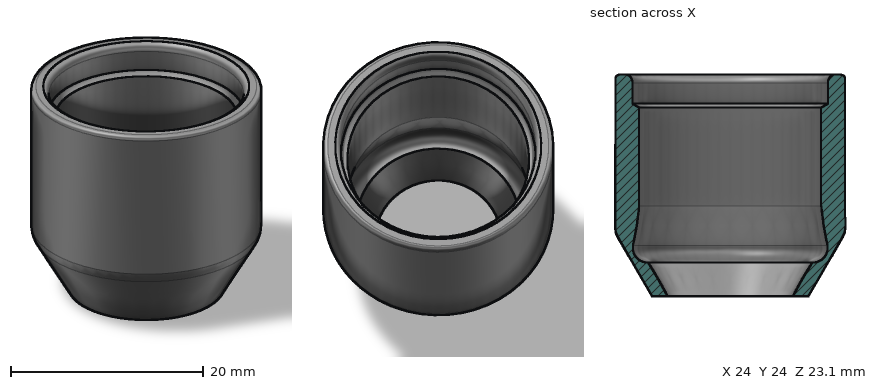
import math

import cadquery as cq

height = 23.1
outer_radius = 24.0 / 2
nose_radius = 16.32 / 2
nose_angle = 30.0
nose_blend = 2.0
rim_blend = 0.5

mouth_radius = 20.3 / 2
mouth_arc_radius = 1.0
mouth_arc_sweep = 65.0
ledge_depth = 3.05
ledge_angle = 30.0

bore_radius = 18.92 / 2
bore_bottom = 9.4
flare_angle = 9.0
chamber_blend = 1.5

outlet_radius = 13.0 / 2
floor_radius = 17.09 / 2


def rise(run, angle_from_axis):
    """Axial length of a taper with the given radial run."""
    return run / math.tan(math.radians(angle_from_axis))


def make_body():
    """Cylinder with a tapered nose and rounded outer edges."""
    shoulder = rise(outer_radius - nose_radius, nose_angle)
    body = (
        cq.Workplane("XZ")
        .moveTo(0, 0)
        .lineTo(nose_radius, 0)
        .lineTo(outer_radius, shoulder)
        .lineTo(outer_radius, height)
        .lineTo(0, height)
        .close()
        .revolve(360, (0, 0, 0), (0, 1, 0))
    )
    body = body.edges("%CIRCLE").edges(cq.selectors.RadiusNthSelector(-1)).edges("<Z").fillet(nose_blend)
    return body.faces(">Z").edges().fillet(rim_blend)


def make_bore():
    """Stepped opening from the rounded mouth down through the outlet."""
    sweep = math.radians(mouth_arc_sweep)
    arc_center_r = mouth_radius + mouth_arc_radius
    arc_center_z = height - mouth_arc_radius * math.sin(sweep)
    arc_end_r = arc_center_r - mouth_arc_radius * math.cos(sweep)
    arc_mid_r = arc_center_r - mouth_arc_radius * math.cos(sweep / 2)
    arc_mid_z = arc_center_z + mouth_arc_radius * math.sin(sweep / 2)

    ledge_top = height - ledge_depth
    ledge_bottom = ledge_top - (mouth_radius - bore_radius) * math.tan(math.radians(ledge_angle))

    floor_z = rise(floor_radius - outlet_radius, nose_angle)
    flare = math.radians(flare_angle)
    blend_center_z = floor_z + chamber_blend
    blend_center_r = (
        bore_radius
        + (bore_bottom - blend_center_z) * math.tan(flare)
        - chamber_blend / math.cos(flare)
    )
    blend_mid = (flare - math.pi / 2) / 2
    blend_start = (
        blend_center_r + chamber_blend * math.cos(flare),
        blend_center_z + chamber_blend * math.sin(flare),
    )
    blend_middle = (
        blend_center_r + chamber_blend * math.cos(blend_mid),
        blend_center_z + chamber_blend * math.sin(blend_mid),
    )

    return (
        cq.Workplane("XZ")
        .moveTo(0, height)
        .lineTo(arc_end_r, height)
        .threePointArc((arc_mid_r, arc_mid_z), (mouth_radius, arc_center_z))
        .lineTo(mouth_radius, ledge_top)
        .lineTo(bore_radius, ledge_bottom)
        .lineTo(bore_radius, bore_bottom)
        .lineTo(*blend_start)
        .threePointArc(blend_middle, (blend_center_r, floor_z))
        .lineTo(floor_radius, floor_z)
        .lineTo(outlet_radius, 0)
        .lineTo(0, 0)
        .close()
        .revolve(360, (0, 0, 0), (0, 1, 0))
    )


result = make_body().cut(make_bore())